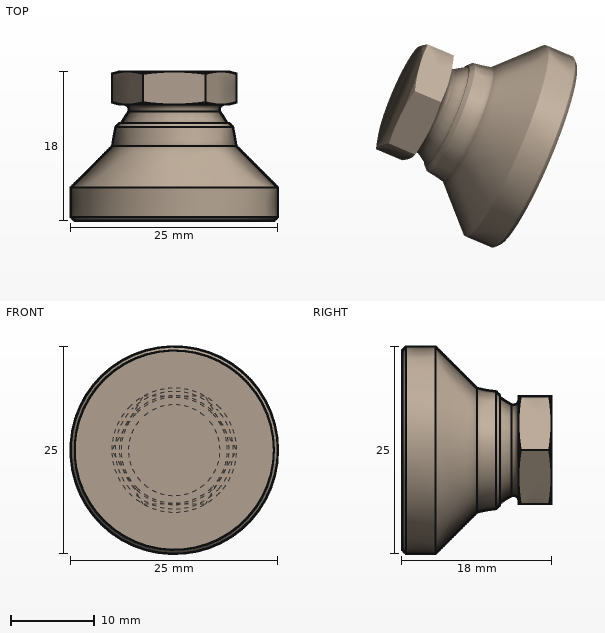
import cadquery as cq
import math


pad_radius = 12.5
pad_chamfer = 0.5
pad_rim_height = 4.0

collar_base_radius = 7.5
collar_taper_angle = 10.0
collar_taper_top = 11.3
collar_chamfer = 0.5
collar_top = collar_taper_top + collar_chamfer
pad_cone_top = pad_rim_height + (pad_radius - collar_base_radius)
collar_shoulder_radius = collar_base_radius - (
    (collar_taper_top - pad_cone_top) * math.tan(math.radians(collar_taper_angle))
)
collar_rim_radius = collar_shoulder_radius - collar_chamfer

neck_radius = 5.5
neck_foot_radius = 6.38
neck_cone_top = 13.2
neck_fillet = 0.5

nut_sides = 6
nut_across_flats = 13.0
nut_height = 4.0
nut_chamfer_angle = 15.0
total_height = 18.0
nut_bottom = total_height - nut_height
nut_corner_radius = nut_across_flats / 2 / math.cos(math.pi / nut_sides)


def make_foot():
    """Revolve the pad, collar and neck around the Y axis."""
    fillet_start = nut_bottom - neck_fillet
    fillet_offset = neck_fillet * (1 - math.sqrt(0.5))
    overlap_into_nut = nut_height / 2
    profile = (
        cq.Workplane("XY")
        .moveTo(0, 0)
        .lineTo(pad_radius - pad_chamfer, 0)
        .lineTo(pad_radius, pad_chamfer)
        .lineTo(pad_radius, pad_rim_height)
        .lineTo(collar_base_radius, pad_cone_top)
        .lineTo(collar_shoulder_radius, collar_taper_top)
        .lineTo(collar_rim_radius, collar_top)
        .lineTo(neck_foot_radius, collar_top)
        .lineTo(neck_radius, neck_cone_top)
        .lineTo(neck_radius, fillet_start)
        .threePointArc(
            (neck_radius + fillet_offset, nut_bottom - fillet_offset),
            (neck_radius + neck_fillet, nut_bottom),
        )
        .lineTo(neck_radius, nut_bottom + overlap_into_nut)
        .lineTo(0, nut_bottom + overlap_into_nut)
        .close()
    )
    return profile.revolve(360, (0, 0), (0, 1))


def make_nut():
    """Hex prism with corners on the X axis, its corners bevelled by cones at both ends."""
    hexagon = (
        cq.Workplane("XZ", origin=(0, total_height, 0))
        .polygon(nut_sides, 2 * nut_corner_radius)
        .extrude(nut_height)
    )
    face_radius = nut_across_flats / 2
    bevel_depth = (nut_corner_radius - face_radius) * math.tan(math.radians(nut_chamfer_angle))
    envelope = (
        cq.Workplane("XY")
        .moveTo(0, nut_bottom)
        .lineTo(face_radius, nut_bottom)
        .lineTo(nut_corner_radius, nut_bottom + bevel_depth)
        .lineTo(nut_corner_radius, total_height - bevel_depth)
        .lineTo(face_radius, total_height)
        .lineTo(0, total_height)
        .close()
        .revolve(360, (0, 0), (0, 1))
    )
    return hexagon.intersect(envelope)


result = make_foot().union(make_nut())